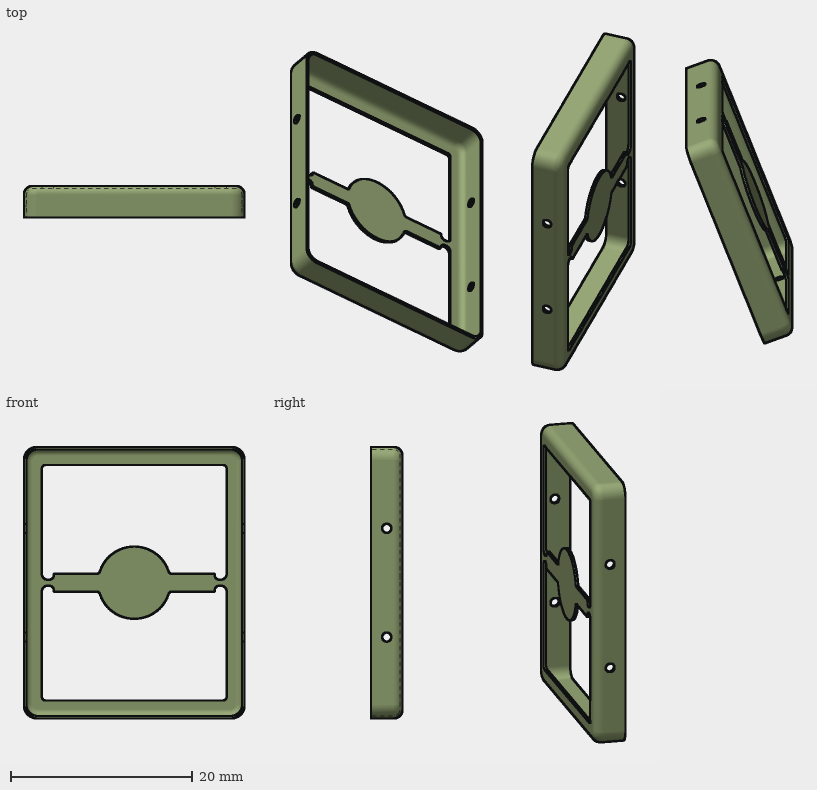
import cadquery as cq

width = 24.4
depth = 3.5
height = 30.0
wall = 0.3
corner_radius = 1.5
floor_edge_radius = 1.0

frame_margin = 2.0
window_width = width - 2 * frame_margin
window_height = height - 2 * frame_margin
window_corner_radius = 0.4

disc_diameter = 8.0
bar_height = 2.0
neck_height = 0.7
neck_length = 1.3
bar_length = window_width - 2 * neck_length
neck_frame_radius = 0.6
neck_bar_radius = 0.48
bar_corner_radius = 0.15
disc_blend_radius = 0.3

hole_diameter = 1.0
hole_spacing = 12.0

front_y = -depth / 2
back_y = depth / 2


def rounded_block(inset):
    """Block inset from the outer envelope on the sides and the floor, with concentric rounding."""
    block_depth = depth - inset
    return (
        cq.Workplane("XY")
        .box(width - 2 * inset, block_depth, height - 2 * inset)
        .translate((0, front_y + block_depth / 2, 0))
        .edges("|Y")
        .fillet(corner_radius - inset)
        .faces(">Y")
        .edges()
        .fillet(floor_edge_radius - inset)
    )


def floor_slab(slab_width, slab_height):
    """Centred rectangular slab as thick as the floor."""
    return (
        cq.Workplane("XY")
        .box(slab_width, wall, slab_height)
        .translate((0, back_y - wall / 2, 0))
    )


def edges_at(body, x, z):
    """Edges along Y at the four mirrored positions (+-x, +-z)."""
    reach = 0.003
    selector = None
    for side_x in (-x, x):
        for side_z in (-z, z):
            corner = cq.selectors.BoxSelector(
                (side_x - reach, front_y, side_z - reach),
                (side_x + reach, back_y, side_z + reach),
            )
            selector = corner if selector is None else selector + corner
    return body.edges("|Y").edges(selector)


def make_crossbar():
    """Bar, disc and necks, with the necks running up to the window sides."""
    disc_radius = disc_diameter / 2
    disc = (
        cq.Workplane("XZ", origin=(0, back_y, 0))
        .circle(disc_radius)
        .extrude(wall)
    )
    bar = floor_slab(bar_length, bar_height).union(disc)
    return bar.union(floor_slab(window_width, neck_height))


def make_openings():
    """Two window openings left above and below the crossbar, with rounded corners."""
    disc_joint_x = ((disc_diameter / 2) ** 2 - (bar_height / 2) ** 2) ** 0.5
    openings = floor_slab(window_width, window_height).cut(make_crossbar())
    rounded_corners = (
        (window_width / 2, window_height / 2, window_corner_radius),
        (window_width / 2, neck_height / 2, neck_frame_radius),
        (bar_length / 2, neck_height / 2, neck_bar_radius),
        (bar_length / 2, bar_height / 2, bar_corner_radius),
        (disc_joint_x, bar_height / 2, disc_blend_radius),
    )
    for x, z, radius in rounded_corners:
        openings = edges_at(openings, x, z).fillet(radius)
    return openings


def make_side_holes():
    """Cutters running across the whole width, through both side walls."""
    return (
        cq.Workplane("YZ")
        .pushPoints([(0, -hole_spacing / 2), (0, hole_spacing / 2)])
        .circle(hole_diameter / 2)
        .extrude(width, both=True)
    )


tray = rounded_block(0).cut(rounded_block(wall))
result = tray.cut(make_openings()).cut(make_side_holes())